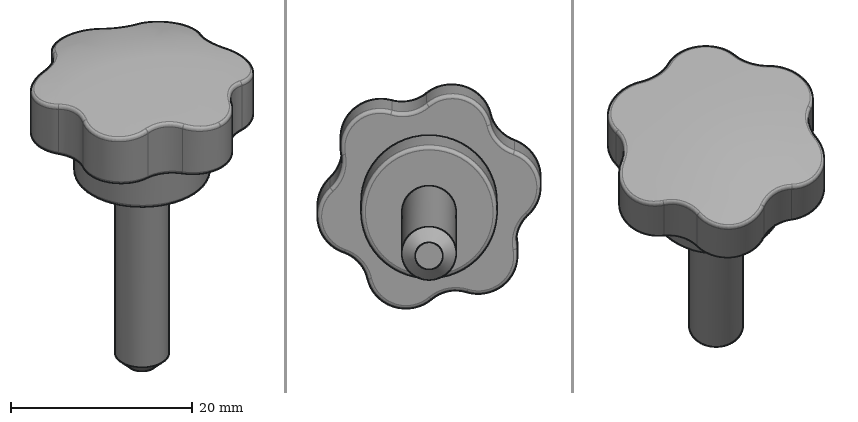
import cadquery as cq
import math

total_height = 39.0
head_height = 8.0
hub_height = 6.0
hub_diameter = 15.0
stud_diameter = 6.0
stud_chamfer = 1.5

lobe_count = 6
head_diameter = 25.0
lobe_radius = 4.35
valley_radius = 4.0

dome_drop = 2.0
edge_fillet = 0.45

head_base = total_height - head_height
hub_base = head_base - hub_height
head_radius = head_diameter / 2
lobe_center_radius = head_radius - lobe_radius
half_pitch = math.pi / lobe_count

valley_center_radius = lobe_center_radius * math.cos(half_pitch) + math.sqrt(
    (lobe_radius + valley_radius) ** 2 - (lobe_center_radius * math.sin(half_pitch)) ** 2
)
valley_floor_radius = valley_center_radius - valley_radius


def polar(radius, angle):
    return (radius * math.cos(angle), radius * math.sin(angle))


def tangent_point(lobe_angle, side):
    """Point where a lobe meets the valley before (side -1) or after (side +1) it."""
    lobe_x, lobe_y = polar(lobe_center_radius, lobe_angle)
    valley_x, valley_y = polar(valley_center_radius, lobe_angle + side * half_pitch)
    share = lobe_radius / (lobe_radius + valley_radius)
    return (lobe_x + share * (valley_x - lobe_x), lobe_y + share * (valley_y - lobe_y))


def lobed_prism():
    outline = cq.Workplane("XY", origin=(0, 0, head_base)).moveTo(*tangent_point(0, -1))
    for index in range(lobe_count):
        angle = 2 * half_pitch * index
        next_angle = angle + 2 * half_pitch
        outline = outline.threePointArc(polar(head_radius, angle), tangent_point(angle, 1))
        outline = outline.threePointArc(
            polar(valley_floor_radius, angle + half_pitch), tangent_point(next_angle, -1)
        )
    return outline.close().extrude(head_height)


def make_head():
    dome_radius = (head_radius**2 + dome_drop**2) / (2 * dome_drop)
    dome = cq.Workplane("XY", origin=(0, 0, total_height - dome_radius)).sphere(dome_radius)
    head = lobed_prism().intersect(dome)
    return head.faces("<Z or >Z").edges().fillet(edge_fillet)


def make_hub():
    hub = cq.Workplane("XY", origin=(0, 0, hub_base)).circle(hub_diameter / 2).extrude(hub_height)
    return hub.faces("<Z").edges().fillet(edge_fillet)


def make_stud():
    stud = cq.Workplane("XY").circle(stud_diameter / 2).extrude(hub_base)
    return stud.faces("<Z").chamfer(stud_chamfer)


result = make_head().union(make_hub()).union(make_stud())